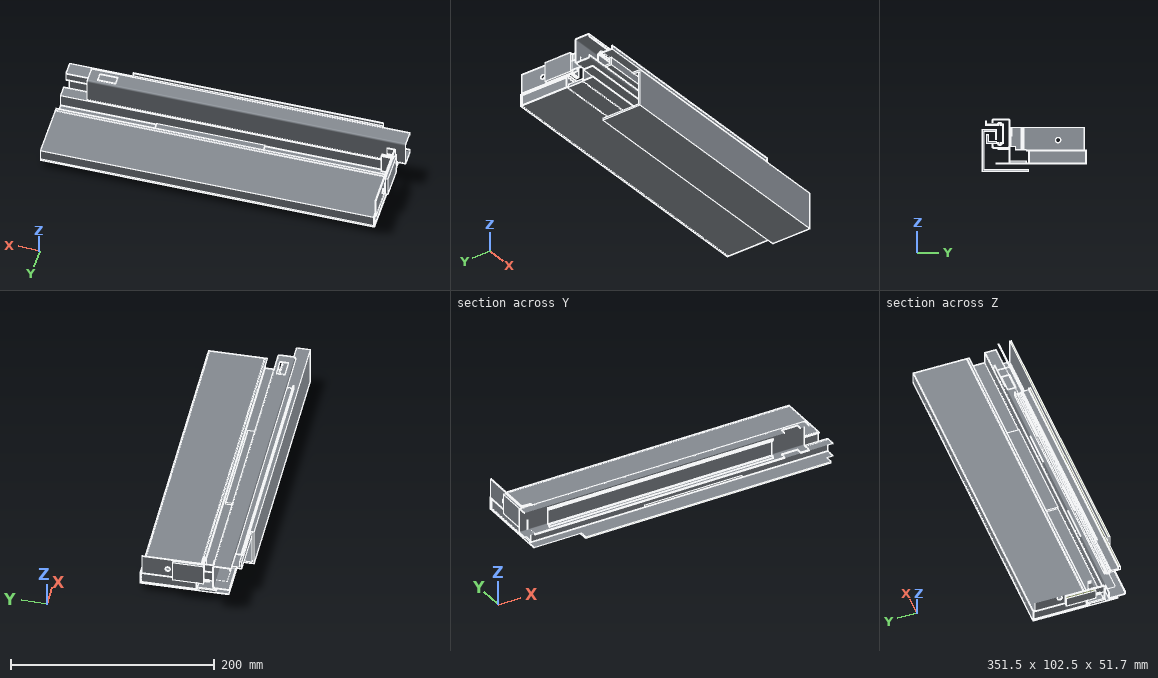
import cadquery as cq
import math


BRACKET_START = 70.0
BRACKET_LENGTH = 279.7
BRACKET_SHEET = 2.0
BRACKET_HEIGHT = 41.5
BRACKET_BASE_WIDTH = 45.6
BRACKET_TOP_WIDTH = 14.0
BRACKET_LIP = 1.0
BRACKET_LIP_BOTTOM = 31.7

SHEET = 1.0

RAIL_LENGTH = 324.5
RAIL_TOP = 51.7
RAIL_BOTTOM = 22.8
RAIL_BACK = 27.5
RAIL_FRONT = 9.6
RAIL_LIP = 3.6
RAIL_BEND = 2.0
WINDOW_START = 296.5
WINDOW_LENGTH = 18.2
WINDOW_FRONT = 14.8
WINDOW_WIDTH = 8.7

MIDDLE_START = 28.7
MIDDLE_LENGTH = 255.2
MIDDLE_BACK = 21.2
MIDDLE_TOP = 46.5
MIDDLE_BOTTOM = 27.5
GROOVE_Y = 17.4
GROOVE_RADIUS = 2.4
GROOVE_INNER_RADIUS = 0.9
UPPER_LIP_FRONT = 3.2
UPPER_LIP_TOP = 49.9
LOWER_LIP_FRONT = 4.2
LOWER_LIP_TOP = 36.2
LOWER_STEP_Y = 14.2
LOWER_LIP_SHEET = 2.1

TRAY_START = 11.0
TRAY_END = 351.5
TRAY_BOTTOM = 7.5
TRAY_TOP = 21.3
TRAY_FRONT = 13.6
TRAY_BACK = 102.5
BOX_WALL_Y = 45.5
BOX_TOP_FRONT = 43.5
BOX_CAP_RECESS = 0.5
END_LIP_HEIGHT = 3.1
END_LIP_THICKNESS = 1.7

HANGER_FRONT = 15.4

PAD_START = 143.0
PAD_LENGTH = 110.6
PAD_HEIGHT = 2.0

PLATE_TOP = 43.4
PLATE_BACK = 100.5
PLATE_FRONT = 28.6
HOLE_Y = 74.7
HOLE_Z = 30.9
HOLE_DIAMETER = 5.0
TONGUE_BOTTOM = 24.4
TONGUE_TOP = 35.0
NOTCH_BACK = 32.8
TAB_SPACING = 2.1
TAB_END = 21.0
SIDE_FLANGE_END = 18.2
LEVER_THICKNESS = 2.6
LEVER_FRONT = 38.1
LEVER_BACK = 69.2


def box(x_range, y_range, z_range):
    """Block between the given limits on each axis."""
    (x0, x1), (y0, y1), (z0, z1) = x_range, y_range, z_range
    return cq.Workplane("XY").box(x1 - x0, y1 - y0, z1 - z0, centered=False).translate((x0, y0, z0))


def profile_plane(start):
    """Cross-section plane (Y right, Z up) at the given X."""
    return cq.Workplane("YZ", origin=(start, 0, 0))


def make_bracket():
    """Base, outer web and top flange, with a thin lip hanging from the flange."""
    inner_top = BRACKET_HEIGHT - BRACKET_SHEET
    outline = [
        (0, 0),
        (BRACKET_BASE_WIDTH, 0),
        (BRACKET_BASE_WIDTH, BRACKET_SHEET),
        (BRACKET_SHEET, BRACKET_SHEET),
        (BRACKET_SHEET, inner_top),
        (BRACKET_TOP_WIDTH - BRACKET_LIP, inner_top),
        (BRACKET_TOP_WIDTH - BRACKET_LIP, BRACKET_LIP_BOTTOM),
        (BRACKET_TOP_WIDTH, BRACKET_LIP_BOTTOM),
        (BRACKET_TOP_WIDTH, BRACKET_HEIGHT),
        (0, BRACKET_HEIGHT),
    ]
    return profile_plane(BRACKET_START).polyline(outline).close().extrude(BRACKET_LENGTH)


def make_drawer_rail():
    """Rounded tube cut open along the front, leaving a lip on each flange."""
    x_range = (0, RAIL_LENGTH)
    outer = box(x_range, (RAIL_FRONT, RAIL_BACK), (RAIL_BOTTOM, RAIL_TOP)).edges("|X").fillet(RAIL_BEND)
    inner = box(
        x_range,
        (RAIL_FRONT + SHEET, RAIL_BACK - SHEET),
        (RAIL_BOTTOM + SHEET, RAIL_TOP - SHEET),
    )
    inner = inner.edges("|X").fillet(RAIL_BEND - SHEET)
    mouth = box(
        x_range,
        (RAIL_FRONT, RAIL_FRONT + SHEET),
        (RAIL_BOTTOM + RAIL_LIP, RAIL_TOP - RAIL_LIP),
    )
    window = box(
        (WINDOW_START, WINDOW_START + WINDOW_LENGTH),
        (WINDOW_FRONT, WINDOW_FRONT + WINDOW_WIDTH),
        (RAIL_BOTTOM, RAIL_TOP),
    )
    return outer.cut(inner).cut(mouth).cut(window)


def make_middle_rail():
    """Web with a ball groove at each end, then a flange and an upright lip."""
    web_front = MIDDLE_BACK - SHEET
    inner_top = MIDDLE_TOP - SHEET
    inner_bottom = MIDDLE_BOTTOM + SHEET
    step_top = MIDDLE_BOTTOM + LOWER_LIP_SHEET
    half_sheet = SHEET / 2
    outer_half = math.sqrt(GROOVE_RADIUS**2 - half_sheet**2)
    inner_half = math.sqrt(GROOVE_INNER_RADIUS**2 - half_sheet**2)
    top_axis = MIDDLE_TOP - half_sheet
    bottom_axis = MIDDLE_BOTTOM + half_sheet
    profile = (
        profile_plane(MIDDLE_START)
        .moveTo(MIDDLE_BACK, MIDDLE_BOTTOM)
        .lineTo(MIDDLE_BACK, MIDDLE_TOP)
        .lineTo(GROOVE_Y + outer_half, MIDDLE_TOP)
        .threePointArc((GROOVE_Y, top_axis + GROOVE_RADIUS), (GROOVE_Y - outer_half, MIDDLE_TOP))
        .lineTo(UPPER_LIP_FRONT + SHEET, MIDDLE_TOP)
        .lineTo(UPPER_LIP_FRONT + SHEET, UPPER_LIP_TOP)
        .lineTo(UPPER_LIP_FRONT, UPPER_LIP_TOP)
        .lineTo(UPPER_LIP_FRONT, inner_top)
        .lineTo(GROOVE_Y - inner_half, inner_top)
        .threePointArc((GROOVE_Y, top_axis + GROOVE_INNER_RADIUS), (GROOVE_Y + inner_half, inner_top))
        .lineTo(web_front, inner_top)
        .lineTo(web_front, inner_bottom)
        .lineTo(GROOVE_Y + inner_half, inner_bottom)
        .threePointArc((GROOVE_Y, bottom_axis - GROOVE_INNER_RADIUS), (GROOVE_Y - inner_half, inner_bottom))
        .lineTo(LOWER_STEP_Y, inner_bottom)
        .lineTo(LOWER_STEP_Y, step_top)
        .lineTo(LOWER_LIP_FRONT + LOWER_LIP_SHEET, step_top)
        .lineTo(LOWER_LIP_FRONT + LOWER_LIP_SHEET, LOWER_LIP_TOP)
        .lineTo(LOWER_LIP_FRONT, LOWER_LIP_TOP)
        .lineTo(LOWER_LIP_FRONT, MIDDLE_BOTTOM)
        .lineTo(GROOVE_Y - outer_half, MIDDLE_BOTTOM)
        .threePointArc((GROOVE_Y, bottom_axis - GROOVE_RADIUS), (GROOVE_Y + outer_half, MIDDLE_BOTTOM))
        .close()
    )
    return profile.extrude(MIDDLE_LENGTH)


def make_tray():
    """Floor, back wall, top and inner wall, with a recessed cap closing the box's near end."""
    x_range = (TRAY_START, TRAY_END)
    floor_top = TRAY_BOTTOM + SHEET
    floor = box(x_range, (TRAY_FRONT, TRAY_BACK), (TRAY_BOTTOM, floor_top))
    back_wall = box(x_range, (TRAY_BACK - SHEET, TRAY_BACK), (TRAY_BOTTOM, TRAY_TOP))
    top = box(x_range, (BOX_TOP_FRONT, TRAY_BACK), (TRAY_TOP - SHEET, TRAY_TOP))
    inner_wall = box(x_range, (BOX_WALL_Y, BOX_WALL_Y + SHEET), (TRAY_BOTTOM, TRAY_TOP))
    cap_start = TRAY_START + BOX_CAP_RECESS
    cap = box((cap_start, cap_start + SHEET), (BOX_WALL_Y, TRAY_BACK), (TRAY_BOTTOM, TRAY_TOP))
    end_lip = box(
        (TRAY_START, TRAY_START + END_LIP_THICKNESS),
        (RAIL_BACK - SHEET, BOX_TOP_FRONT),
        (TRAY_BOTTOM, TRAY_BOTTOM + END_LIP_HEIGHT),
    )
    return floor.union(back_wall).union(top).union(inner_wall).union(cap).union(end_lip).clean()


def make_hanger():
    """Web standing on the tray floor, with a flange under the drawer rail."""
    web = box(
        (TRAY_START + END_LIP_THICKNESS, TRAY_END),
        (RAIL_BACK - SHEET, RAIL_BACK),
        (TRAY_BOTTOM + SHEET, RAIL_BOTTOM),
    )
    flange = box(
        (TRAY_START + END_LIP_THICKNESS, TRAY_END),
        (HANGER_FRONT, RAIL_BACK),
        (RAIL_BOTTOM - SHEET, RAIL_BOTTOM),
    )
    return web.union(flange)


def make_pad():
    """Flat pad filling the strip of floor between the hanger and the box."""
    floor_top = TRAY_BOTTOM + SHEET
    return box(
        (PAD_START, PAD_START + PAD_LENGTH),
        (RAIL_BACK, BOX_TOP_FRONT),
        (floor_top, floor_top + PAD_HEIGHT),
    )


def make_front_plate():
    """Upright plate with a raised tongue, two parallel tabs, a side flange, a corner notch and a hole."""
    plate_start = TRAY_START - SHEET
    plate_x = (plate_start, TRAY_START)
    plate = box(plate_x, (PLATE_FRONT, PLATE_BACK), (TRAY_TOP, PLATE_TOP))
    notch = box(plate_x, (PLATE_FRONT, NOTCH_BACK), (TRAY_TOP, TONGUE_BOTTOM))
    tongue = box((plate_start - SHEET, plate_start), (RAIL_BACK, LEVER_BACK), (TONGUE_BOTTOM, TONGUE_TOP))
    side_flange = box(
        (plate_start, SIDE_FLANGE_END),
        (PLATE_FRONT, PLATE_FRONT + SHEET),
        (TONGUE_TOP, PLATE_TOP),
    )
    hole = profile_plane(plate_start).center(HOLE_Y, HOLE_Z).circle(HOLE_DIAMETER / 2).extrude(SHEET)
    plate = plate.cut(notch).union(tongue).union(side_flange).cut(hole)
    for tab_y in (LEVER_FRONT, LEVER_FRONT + TAB_SPACING):
        tab = box((plate_start, TAB_END), (tab_y, tab_y + SHEET), (TRAY_TOP, PLATE_TOP))
        plate = plate.union(tab)
    return plate


def make_lever():
    """Flat lever lying on the front plate's tongue."""
    back_face = TRAY_START - 2 * SHEET
    return box((back_face - LEVER_THICKNESS, back_face), (LEVER_FRONT, LEVER_BACK), (TRAY_TOP, PLATE_TOP))


bracket = make_bracket()
drawer_rail = make_drawer_rail()
middle_rail = make_middle_rail()
tray = make_tray()
hanger = make_hanger()
pad = make_pad()
front_plate = make_front_plate()
lever = make_lever()

result = cq.Compound.makeCompound(
    [
        bracket.val(),
        drawer_rail.val(),
        middle_rail.val(),
        tray.val(),
        hanger.val(),
        pad.val(),
        front_plate.val(),
        lever.val(),
    ]
)